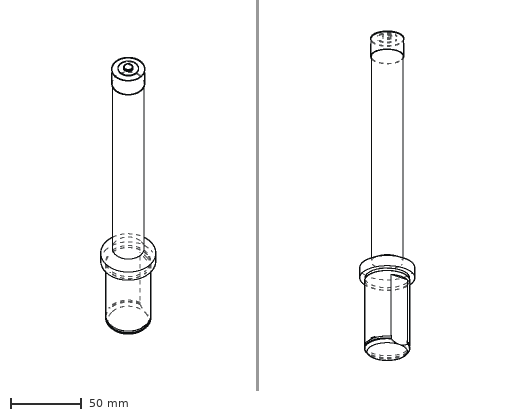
import cadquery as cq
import math

total_length = 250.0

body_radius = 16.0
groove_radius = 15.8
base_radius = 14.2
rim_bottom = 2.2
rim_top = 3.0
groove_shoulder = 4.5
body_bottom = 5.2
body_top = 56.0
flat_offset = base_radius
flat_top = 53.0

flange_radius = 19.5
flange_bottom = 58.0
flange_top = 66.0
cone_top = 70.8

shaft_radius = 11.2
collar_radius = 11.8
collar_bottom = 232.2
collar_seam = 240.5
collar_top = 246.5
collar_rim_height = 0.5
waist_depth = 0.2

disc_radius = 7.2
disc_top = 247.2
foot_radius = 3.5
foot_top = 247.8
pin_radius = 3.0
pin_shoulder = 248.8


def turned_body():
    """Revolve the half profile, given as (radius, height), about Z."""
    profile = [
        (0, 0),
        (base_radius, 0),
        (body_radius, rim_bottom),
        (body_radius, rim_top),
        (groove_radius, rim_top),
        (groove_radius, groove_shoulder),
        (body_radius, body_bottom),
        (body_radius, body_top),
        (groove_radius, body_top),
        (groove_radius, flange_bottom),
        (flange_radius, flange_bottom),
        (flange_radius, flange_top),
        (shaft_radius, cone_top),
        (shaft_radius, collar_bottom),
        (collar_radius, collar_bottom),
        (collar_radius, collar_seam),
        (collar_radius - waist_depth, collar_top - collar_rim_height),
        (collar_radius, collar_top - collar_rim_height),
        (collar_radius, collar_top),
        (disc_radius, collar_top),
        (disc_radius, disc_top),
        (foot_radius, disc_top),
        (foot_radius, foot_top),
        (pin_radius, foot_top),
        (pin_radius, pin_shoulder),
    ]
    dome_height = total_length - pin_shoulder
    dome_radius = (pin_radius**2 + dome_height**2) / (2 * dome_height)
    half_pin = pin_radius / 2
    dome_middle = total_length - dome_radius + math.sqrt(dome_radius**2 - half_pin**2)
    outline = (
        cq.Workplane("XZ")
        .polyline(profile)
        .threePointArc((half_pin, dome_middle), (0, total_length))
        .close()
    )
    return outline.revolve(360, (0, 0), (0, 1))


def flat_cutter():
    """Block that removes the +Y side of the body below the flat's top end."""
    return (
        cq.Workplane("XY")
        .box(2 * body_radius, body_radius, flat_top, centered=(True, False, False))
        .translate((0, flat_offset, 0))
    )


result = turned_body().cut(flat_cutter())